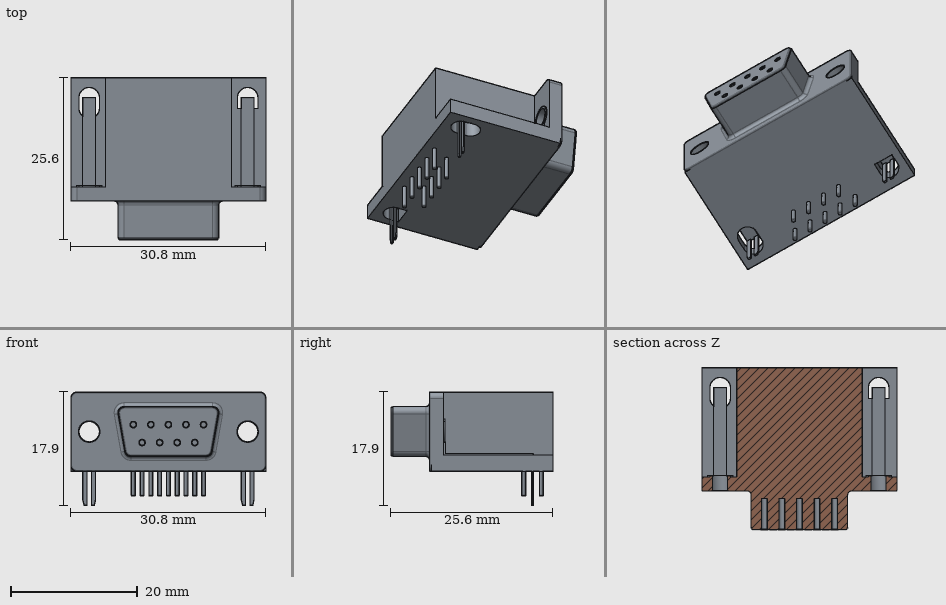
import cadquery as cq
import math


width = 30.8
height = 12.5
depth = 19.5
base_height = 2.6
block_width = 19.85
flange_thickness = 2.25
flange_corner_radius = 1.0

sheet_thickness = 0.3
sheet_edge_radius = 0.12

mount_spacing = 25.0
mount_z = height / 2
mount_diameter = 3.2
mount_chamfer = 0.1
collar_diameter = 4.0
collar_thickness = 0.2

shell_length = 5.8
insert_step = 0.3
insert_inset = 0.12
insert_edge_radius = 0.15
shell_bottom = 2.3
shell_height = 7.92
shell_top_width = 16.32
shell_side_angle = 10.0
shell_corner_radius = 1.0
shell_root_radius = 0.6

contact_pitch = 2.77
contact_row_z = {5: 7.35, 4: 4.53}
contact_row_y = {5: 17.65, 4: 14.88}
socket_diameter = 0.85
socket_depth = 4.93
socket_chamfer = 0.1
pin_diameter = 0.65
pin_length = 3.88
pin_edge_radius = 0.12

slot_width = 3.2
slot_rear_y = 17.93
slot_front_y = 14.65

clip_width = 2.05
clip_thickness = 0.25
clip_top_z = 4.62
clip_rear_y = 16.4
clip_bottom_z = -5.4
clip_bend_radius = 0.12
prong_gap = 0.68
prong_tip_height = 0.92
prong_tip_inset = 0.22


def box(x_min, x_max, y_min, y_max, z_min, z_max):
    size = (x_max - x_min, y_max - y_min, z_max - z_min)
    return cq.Workplane("XY").box(*size, centered=False).translate((x_min, y_min, z_min))


def cylinder_y(x, z, diameter, y_start, y_end):
    plane = cq.Workplane("XZ", origin=(x, y_start, z))
    return plane.circle(diameter / 2).extrude(y_start - y_end)


def chamfered_bore(x, z, diameter, chamfer, y_start, y_end):
    """Cutter along Y for a hole whose mouth at y_start is chamfered."""
    bore = cylinder_y(x, z, diameter, y_start, y_end)
    mouth = cq.Solid.makeCone(
        diameter / 2 + chamfer,
        diameter / 2,
        chamfer,
        pnt=cq.Vector(x, y_start, z),
        dir=cq.Vector(0, 1, 0),
    )
    return bore.union(cq.Workplane(obj=mouth))


def make_housing():
    half = width / 2
    base = box(-half, half, sheet_thickness, depth, 0, base_height)
    block = box(-block_width / 2, block_width / 2, sheet_thickness, depth, 0, height)
    flange = box(-half, half, sheet_thickness, flange_thickness, 0, height)
    flange = flange.edges("|Y and >Z").fillet(flange_corner_radius)
    return base.union(block).union(flange)


def make_sheet():
    sheet = box(-width / 2, width / 2, 0, sheet_thickness, 0, height)
    sheet = sheet.edges("|Y").fillet(flange_corner_radius)
    return sheet.faces("<Y").edges().fillet(sheet_edge_radius)


def make_d_prism(inset, length):
    """D-shaped prism, inset from the shell outline, from the sheet's rear face to Y = -length."""
    half_top = shell_top_width / 2
    half_bottom = half_top - shell_height * math.tan(math.radians(shell_side_angle))
    shell_top = shell_bottom + shell_height
    outline = [
        (-half_bottom, shell_bottom),
        (half_bottom, shell_bottom),
        (half_top, shell_top),
        (-half_top, shell_top),
    ]
    plane = cq.Workplane("XZ", origin=(0, sheet_thickness, 0))
    sketch = plane.polyline(outline).close()
    if inset > 0:
        sketch = sketch.offset2D(-inset)
    prism = sketch.extrude(length + sheet_thickness)
    return prism.edges("|Y").fillet(shell_corner_radius - inset)


def make_insert():
    insert = make_d_prism(insert_inset, shell_length + insert_step)
    return insert.faces("<Y").edges().fillet(insert_edge_radius)


def row_positions(count):
    return [(i - (count - 1) / 2) * contact_pitch for i in range(count)]


def make_pin(x, y):
    pin = cq.Workplane("XY", origin=(x, y, base_height / 2)).circle(pin_diameter / 2)
    pin = pin.extrude(-pin_length - base_height / 2)
    return pin.faces("<Z").edges().fillet(pin_edge_radius)


def make_slot(x, round_front):
    radius = slot_width / 2
    rear_centre = slot_rear_y - radius
    slot = box(x - radius, x + radius, slot_front_y, rear_centre, 0, base_height)
    end_centres = [rear_centre]
    if round_front:
        end_centres.append(slot_front_y)
    for y in end_centres:
        slot = slot.union(cq.Workplane("XY", origin=(x, y, 0)).circle(radius).extrude(base_height))
    return slot


def make_clip(x):
    strip_top = base_height + clip_thickness
    upright_rear = flange_thickness + clip_thickness
    half = clip_width / 2
    upright = box(x - half, x + half, flange_thickness, upright_rear, base_height, clip_top_z)
    strip = box(x - half, x + half, flange_thickness, clip_rear_y, base_height, strip_top)

    half_gap = prong_gap / 2
    prong = [
        (half_gap, base_height),
        (half, base_height),
        (half, clip_bottom_z + prong_tip_height),
        (half - prong_tip_inset, clip_bottom_z),
        (half_gap, clip_bottom_z),
    ]
    plane = cq.Workplane("XZ", origin=(x, clip_rear_y, 0))
    prongs = plane.polyline(prong).close().extrude(clip_thickness)
    prongs = prongs.union(prongs.mirror("YZ", (x, 0, 0)))

    bend_edge = cq.selectors.NearestToPointSelector((x, clip_rear_y, strip_top))
    strip = strip.edges(bend_edge).fillet(clip_bend_radius)
    return upright.union(strip).union(prongs)


front = make_sheet().union(make_d_prism(0, shell_length))
root_box = cq.selectors.BoxSelector(
    (-mount_spacing / 2, -sheet_edge_radius / 2, sheet_thickness),
    (mount_spacing / 2, sheet_edge_radius / 2, height - sheet_thickness),
    boundingbox=True,
)
front = front.edges(root_box).fillet(shell_root_radius)
result = make_housing().union(front).union(make_insert())

collar_end = flange_thickness + collar_thickness
for side in (-1, 1):
    mount_x = side * mount_spacing / 2
    result = result.cut(make_slot(mount_x, round_front=side < 0))
    result = result.union(make_clip(mount_x))
    result = result.union(cylinder_y(mount_x, mount_z, collar_diameter, flange_thickness, collar_end))
    mount_hole = chamfered_bore(mount_x, mount_z, mount_diameter, mount_chamfer, 0, collar_end)
    result = result.cut(mount_hole)

socket_front = -shell_length - insert_step
socket_end = socket_front + socket_depth
for count in (5, 4):
    for x in row_positions(count):
        z = contact_row_z[count]
        socket = chamfered_bore(x, z, socket_diameter, socket_chamfer, socket_front, socket_end)
        result = result.cut(socket)
        result = result.union(make_pin(x, contact_row_y[count]))